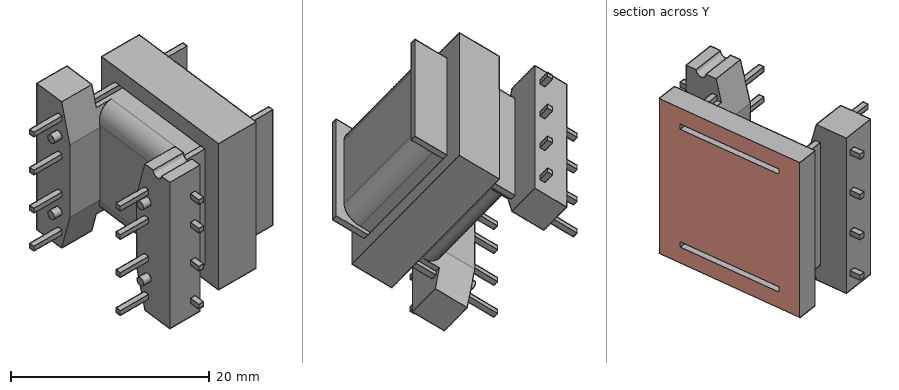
import cadquery as cq


core_length = 17.86
core_depth = 5.08
core_height = 19.56
window_height = 15.44

flange_outer_x = 6.86
flange_thickness = 0.635
flange_inner_x = flange_outer_x - flange_thickness
flange_back_y = 6.6

rail_outer_x = 10.16
rail_back_y = -6.1
rail_front_y = -10.16
rail_half_height = core_height / 2
rail_waist_x = 5.1
rail_end_x = 6.35
rail_waist_half_height = 4.85

winding_radius = 2.032
winding_half_height = 7.112
winding_back_y = 5.59
winding_front_y = rail_back_y

pin_width = 0.635
pin_x = 6.6
pin_tip_y = -13.97
side_pin_tip_x = 11.43
side_pin_y = -7.06
left_pin_heights = [-7.62, -2.54, 2.54, 7.62]
right_pin_heights = [-7.62, -2.54, 2.54, 6.35]

peg_diameter = 1.02
peg_x = 6.81
peg_height = 5.08
peg_tip_y = -11.18

notch_radius = 0.635
notch_x = 8.255


def box_between(x_range, y_range, z_range):
    """Axis-aligned box spanning the given (start, end) ranges."""
    size = [end - start for start, end in (x_range, y_range, z_range)]
    corner = (x_range[0], y_range[0], z_range[0])
    return cq.Workplane("XY").box(*size, centered=False).translate(corner)


def make_core():
    frame = cq.Workplane("XY").box(core_length, core_depth, core_height)
    window = cq.Workplane("XY").box(2 * flange_outer_x, core_depth, window_height)
    return frame.cut(window)


def make_winding():
    block = box_between(
        (-flange_inner_x, flange_inner_x),
        (winding_front_y, winding_back_y),
        (-winding_half_height, winding_half_height),
    )
    return block.edges("|X").fillet(winding_radius)


def make_flange():
    """Flange at the +X end of the winding."""
    return box_between(
        (flange_inner_x, flange_outer_x),
        (rail_back_y, flange_back_y),
        (-window_height / 2, window_height / 2),
    )


def make_rail():
    """+X rail, whose inner side narrows toward both ends."""
    outline = [
        (rail_outer_x, -rail_half_height),
        (rail_outer_x, rail_half_height),
        (rail_end_x, rail_half_height),
        (rail_waist_x, rail_waist_half_height),
        (rail_waist_x, -rail_waist_half_height),
        (rail_end_x, -rail_half_height),
    ]
    plane = cq.Workplane("XZ", origin=(0, rail_back_y, 0))
    return plane.polyline(outline).close().extrude(rail_back_y - rail_front_y)


def make_rail_root(rail):
    """Continuation of the +X rail that fills the rounded winding edges beside the flange."""
    root_depth = winding_radius
    extended = rail.translate((0, root_depth, 0))
    limits = box_between(
        (0, flange_inner_x),
        (rail_back_y, rail_back_y + root_depth),
        (-winding_half_height, winding_half_height),
    )
    return extended.intersect(limits)


def make_terminal(height):
    """+X terminal: a front pin and a side pin at the same height."""
    half = pin_width / 2
    z_range = (height - half, height + half)
    front_pin = box_between((pin_x - half, pin_x + half), (pin_tip_y, rail_front_y), z_range)
    side_pin = box_between(
        (rail_outer_x, side_pin_tip_x),
        (side_pin_y - half, side_pin_y + half),
        z_range,
    )
    return [front_pin, side_pin]


def make_pegs():
    plane = cq.Workplane("XZ", origin=(0, rail_front_y, 0))
    centres = [(peg_x, -peg_height), (peg_x, peg_height)]
    return plane.pushPoints(centres).circle(peg_diameter / 2).extrude(rail_front_y - peg_tip_y)


def make_side(pin_heights):
    """Everything at the +X end: flange, rail, pegs and terminals."""
    rail = make_rail()
    side = rail.union(make_rail_root(rail)).union(make_flange()).union(make_pegs())
    for height in pin_heights:
        for pin in make_terminal(height):
            side = side.union(pin)
    return side


def make_notch():
    plane = cq.Workplane("XZ", origin=(0, rail_back_y, 0))
    circle = plane.center(notch_x, rail_half_height).circle(notch_radius)
    return circle.extrude(rail_back_y - rail_front_y)


right_side = make_side(right_pin_heights).cut(make_notch())
left_side = make_side(left_pin_heights).mirror("YZ")
result = make_core().union(make_winding()).union(right_side).union(left_side)